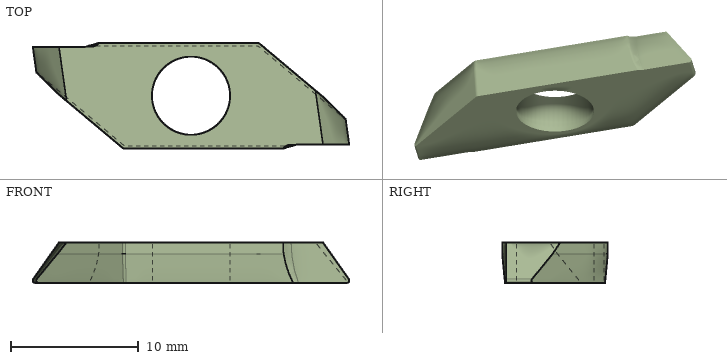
import cadquery as cq
import math

length = 24.82
width = 8.3
thickness = 3.18
half_width = width / 2

hole_diameter = 6.11

band_height = 0.9
drafted_height = thickness - band_height
draft_angle = 5.5
slant_angle = 40.0
corner_x = 5.3
corner_radius = 0.35

end_skew = 8.0
end_slope = 35.0
tip_radius = 0.2

relief_y = 3.83
relief_start_x = 7.83
wheel_radius = 9.0
wheel_edge_radius = 0.75


def half_turn(shape):
    """Return the shape turned by 180 degrees about the Z axis."""
    return shape.rotate((0, 0, 0), (0, 0, 1), 180)


def round_blunt_corners(plate):
    """Round the two blunt corner edges of a parallelogram plate."""
    for side in (-1, 1):
        blunt_corner = (side * corner_x, side * half_width, drafted_height)
        flank_edges = plate.edges("not #Z")
        blunt_edge = flank_edges.edges(cq.selectors.NearestToPointSelector(blunt_corner))
        plate = blunt_edge.fillet(corner_radius)
    return plate


def make_body():
    """Parallelogram plate with an upright band, drafted flanks and rounded blunt corners."""
    acute_x = corner_x + width / math.tan(math.radians(slant_angle))
    outline = [
        (-corner_x, -half_width),
        (acute_x, -half_width),
        (corner_x, half_width),
        (-acute_x, half_width),
    ]
    shoulder = cq.Workplane("XY").workplane(offset=drafted_height)
    band = shoulder.polyline(outline).close().extrude(band_height)
    drafted = shoulder.polyline(outline).close().extrude(-drafted_height, taper=draft_angle)
    return round_blunt_corners(band).union(round_blunt_corners(drafted))


def make_end_envelope():
    """Trapezoidal bar whose two sloped sides form the end faces with rounded bottom edges."""
    skew = math.radians(end_skew)
    slope = math.radians(end_slope)
    tip_reach = length / 2 * math.cos(skew) - relief_y * math.sin(skew)
    edge_setback = tip_radius / math.tan((math.pi / 2 - slope) / 2)
    bottom_reach = tip_reach - tip_radius + edge_setback
    top_reach = bottom_reach - thickness * math.tan(slope)
    section = [
        (-bottom_reach, 0),
        (bottom_reach, 0),
        (top_reach, thickness),
        (-top_reach, thickness),
    ]
    bar = cq.Workplane("XZ").polyline(section).close().extrude(length / 2, both=True)
    bar = bar.faces("<Z").edges("|Y").fillet(tip_radius)
    return bar.rotate((0, 0, 0), (0, 0, 1), end_skew)


def make_relief_wheel():
    """Disc with a rounded rim; its flat side forms the relief face beside the +X tip."""
    wheel = (
        cq.Workplane("XZ", origin=(relief_start_x + wheel_radius, -relief_y, thickness))
        .circle(wheel_radius + wheel_edge_radius)
        .extrude(2 * wheel_edge_radius)
    )
    return wheel.faces(">Y").edges().fillet(wheel_edge_radius)


relief_wheel = make_relief_wheel()
body = make_body().intersect(make_end_envelope())
body = body.cut(relief_wheel).cut(half_turn(relief_wheel))
hole = cq.Workplane("XY").circle(hole_diameter / 2).extrude(thickness)
result = body.cut(hole)